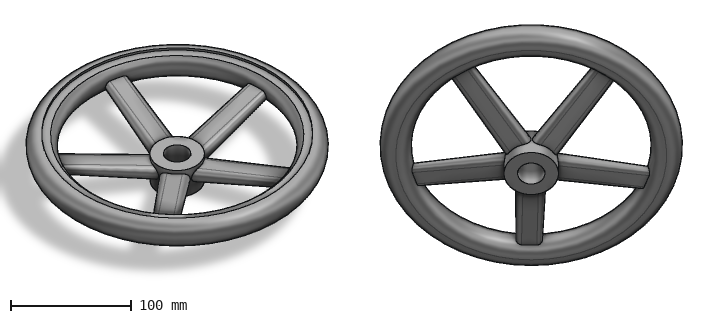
import cadquery as cq
import math

outer_radius = 125.0
tube_radius = 13.0
rim_radius = outer_radius - tube_radius
step_depth = 2.2

overall_height = 50.0
hub_radius = 22.5
hub_height = 28.2
bore_radius = 11.2
hub_bottom = tube_radius - overall_height

spoke_count = 5
first_spoke_angle = 90.0
spoke_drop = 23.8
spoke_flat_width = 12.8
spoke_inner_thickness = 13.5
spoke_outer_thickness = 8.8


def make_rim():
    """Round rim whose inner half is cut flat just below the crown."""
    flat_z = tube_radius - step_depth
    flat_inner_radius = rim_radius - math.sqrt(tube_radius**2 - flat_z**2)
    return (
        cq.Workplane("XZ")
        .moveTo(rim_radius, flat_z)
        .lineTo(rim_radius, tube_radius)
        .threePointArc((outer_radius, 0), (rim_radius, -tube_radius))
        .threePointArc((rim_radius - tube_radius, 0), (flat_inner_radius, flat_z))
        .close()
        .revolve(360, (0, 0, 0), (0, 1, 0))
    )


def make_hub():
    return cq.Workplane("XY").workplane(offset=hub_bottom).circle(hub_radius).extrude(hub_height)


def make_spoke(angle):
    """Sloping spoke with rounded sides, thinning towards the rim."""
    slope_length = math.hypot(rim_radius, spoke_drop)
    axis_plane = cq.Plane(
        origin=(0, 0, -spoke_drop), xDir=(0, 1, 0), normal=(rim_radius, 0, spoke_drop)
    )
    return (
        cq.Workplane(axis_plane)
        .slot2D(spoke_flat_width + spoke_inner_thickness, spoke_inner_thickness)
        .workplane(offset=slope_length)
        .slot2D(spoke_flat_width + spoke_outer_thickness, spoke_outer_thickness)
        .loft(ruled=True)
        .rotate((0, 0, 0), (0, 0, 1), angle)
    )


wheel = make_hub()
for index in range(spoke_count):
    wheel = wheel.union(make_spoke(first_spoke_angle + index * 360 / spoke_count))
wheel = wheel.union(make_rim())

bore = cq.Workplane("XY").workplane(offset=hub_bottom).circle(bore_radius).extrude(hub_height)
result = wheel.cut(bore)